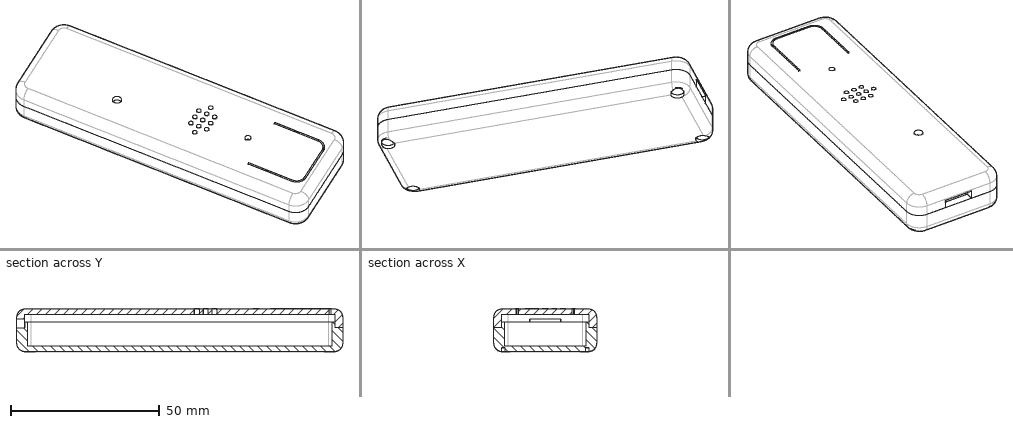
import cadquery as cq

LENGTH = 110.0
WIDTH = 34.9
HEIGHT = 14.5
PARTING_Z = 8.0
CORNER_RADIUS = 5.0
EDGE_RADIUS = 3.0

SIDE_WALL = 2.8
SKIN = 2.0
LIP_THICKNESS = 1.0
LIP_HEIGHT = 2.1
BASE_WALL = SIDE_WALL + LIP_THICKNESS

SLOT_WIDTH = 10.3
SLOT_HEIGHT = 3.0

LED_DIAMETER = 3.0
LED_CENTER = (-21.0, -5.3)
SOUND_HOLE_DIAMETER = 1.5
SOUND_CENTER_X = 8.7
SOUND_PITCH = 3.0
SOUND_COLUMN_COUNTS = (3, 5, 3)
INDICATOR_DIAMETER = 2.0
INDICATOR_CENTER = (25.7, 0)

BUTTON_ROOT_X = 30.8
BUTTON_TIP_X = 50.9
BUTTON_GAP_WIDTH = 20.0
BUTTON_CORNER_RADIUS = 3.5
GAP = 0.5

RECESS_DIAMETER = 4.5
RECESS_DEPTH = 1.3
RECESS_INSET_X = 4.0
RECESS_INSET_Y = 3.3


def rounded_block(inset, z_bottom, z_top):
    """Upright block with rounded corners, held in from the case sides by inset."""
    return (
        cq.Workplane("XY", origin=(0, 0, z_bottom))
        .rect(LENGTH - 2 * inset, WIDTH - 2 * inset)
        .extrude(z_top - z_bottom)
        .edges("|Z")
        .fillet(CORNER_RADIUS - inset)
    )


def roof_hole(points, diameter):
    """Round holes through the lid roof."""
    return (
        cq.Workplane("XY", origin=(0, 0, HEIGHT - SKIN))
        .pushPoints(points)
        .circle(diameter / 2)
        .extrude(SKIN)
    )


def sound_hole_points():
    """Three columns of holes, with the middle column longer than the others."""
    points = []
    for column, count in enumerate(SOUND_COLUMN_COUNTS):
        x = SOUND_CENTER_X + (column - 1) * SOUND_PITCH
        for row in range(count):
            points.append((x, (row - (count - 1) / 2) * SOUND_PITCH))
    return points


def button_outline(inset):
    """Button plate, rounded at its tip, reaching through the lid roof."""
    length = BUTTON_TIP_X - inset - BUTTON_ROOT_X
    return (
        cq.Workplane("XY", origin=(BUTTON_ROOT_X + length / 2, 0, HEIGHT - SKIN))
        .rect(length, BUTTON_GAP_WIDTH - 2 * inset)
        .extrude(SKIN)
        .edges("|Z and >X")
        .fillet(BUTTON_CORNER_RADIUS - inset)
    )


def connector_slot():
    """Opening through the -X wall, open at the bottom to the parting plane."""
    return (
        cq.Workplane("XY", origin=(-LENGTH / 2, 0, PARTING_Z))
        .box(SIDE_WALL, SLOT_WIDTH, SLOT_HEIGHT, centered=(False, True, False))
    )


def make_lid():
    lid = rounded_block(0, PARTING_Z, HEIGHT).faces(">Z").edges().fillet(EDGE_RADIUS)
    lid = lid.cut(rounded_block(SIDE_WALL, PARTING_Z, HEIGHT - SKIN))
    lid = lid.cut(connector_slot())
    lid = lid.cut(roof_hole([LED_CENTER], LED_DIAMETER))
    lid = lid.cut(roof_hole(sound_hole_points(), SOUND_HOLE_DIAMETER))
    lid = lid.cut(roof_hole([INDICATOR_CENTER], INDICATOR_DIAMETER))
    return lid.cut(button_outline(0).cut(button_outline(GAP)))


def make_base():
    base = rounded_block(0, 0, PARTING_Z).faces("<Z").edges().fillet(EDGE_RADIUS)
    lip_top = PARTING_Z + LIP_HEIGHT
    base = base.union(rounded_block(SIDE_WALL, SKIN, lip_top))
    base = base.cut(rounded_block(BASE_WALL, SKIN, lip_top))
    recesses = (
        cq.Workplane("XY")
        .rect(LENGTH - 2 * RECESS_INSET_X, WIDTH - 2 * RECESS_INSET_Y, forConstruction=True)
        .vertices()
        .circle(RECESS_DIAMETER / 2)
        .extrude(RECESS_DEPTH)
    )
    return base.cut(recesses)


lid = make_lid()
base = make_base()

result = cq.Compound.makeCompound([lid.val(), base.val()])